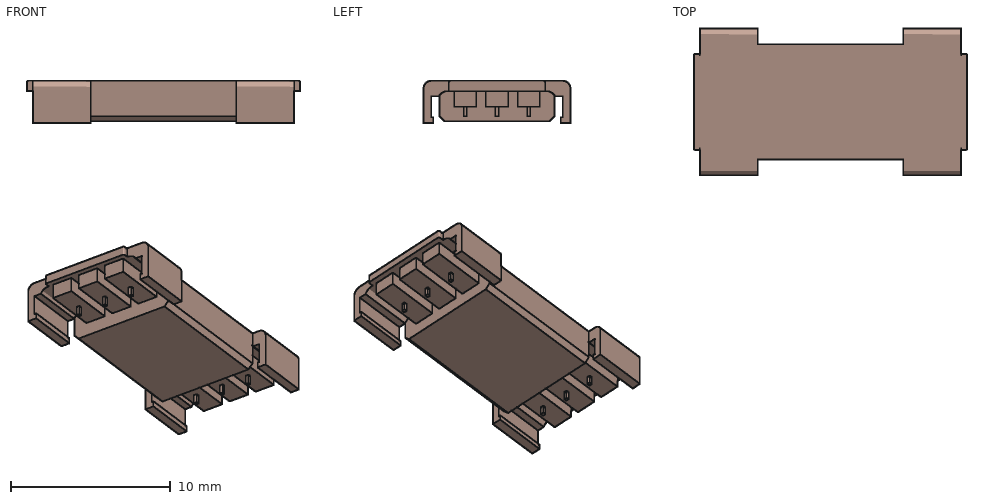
import cadquery as cq

length = 17.1
width = 9.2
height = 2.65

arms_span = 16.35
arm_length = 3.63
arm_thickness = 0.97
arm_corner_radius = 0.5
leg_thickness = 0.5
lip_depth = 0.62
lip_height = 0.38

body_length = arms_span - 2 * arm_length
body_width = 7.22
body_height = 2.55
body_chamfer = 0.32

cover_thickness = 0.65
tab_width = 6.02
tab_edge_radius = 0.1
recess_width = 7.35
recess_corner_radius = 0.58

terminal_pitch = 1.98
terminal_count = 3
block_width = 1.4
block_bottom = 1.62
pin_width = 0.2
pin_bottom = 2.22

end_center = (arms_span - arm_length) / 2


def hanging_box(x_size, y_size, top, bottom):
    """Box centred on the Z axis, spanning the given depths below the top face."""
    box = cq.Workplane("XY").box(x_size, y_size, bottom - top, centered=(True, True, False))
    return box.translate((0, 0, -bottom))


def make_body():
    body = hanging_box(body_length, body_width, 0, body_height)
    return body.faces("<Z").edges("|X").chamfer(body_chamfer)


def make_tabs():
    """Both end tabs, as the ends of one plate running the full length."""
    plate = hanging_box(length, tab_width, 0, cover_thickness)
    return plate.edges("|Z or >Z").fillet(tab_edge_radius)


def make_arm_pair():
    """Two opposite arms joined across the top, each with a leg and an inward lip."""
    pair = hanging_box(arm_length, width, 0, height)
    pair = pair.faces(">Z").edges("|X").fillet(arm_corner_radius)
    leg_gap = hanging_box(arm_length, width - 2 * leg_thickness, arm_thickness, height - lip_height)
    lip_gap = hanging_box(arm_length, width - 2 * lip_depth, arm_thickness, height)
    recess = hanging_box(arm_length, recess_width, cover_thickness, height)
    recess = recess.faces(">Z").edges("|X").fillet(recess_corner_radius)
    return pair.cut(leg_gap).cut(lip_gap).cut(recess)


def make_terminal():
    """Block running from the body to the arm ends, with a pin under its middle."""
    block = hanging_box(arm_length, block_width, 0, block_bottom)
    pin = hanging_box(pin_width, pin_width, 0, pin_bottom)
    return block.union(pin)


def make_end():
    """Arm pair with its row of terminals."""
    end = make_arm_pair()
    for index in range(terminal_count):
        y = (index - (terminal_count - 1) / 2) * terminal_pitch
        end = end.union(make_terminal().translate((0, y, 0)))
    return end


result = make_body().union(make_tabs())
for side in (-1, 1):
    result = result.union(make_end().translate((side * end_center, 0, 0)))
result = result.clean()